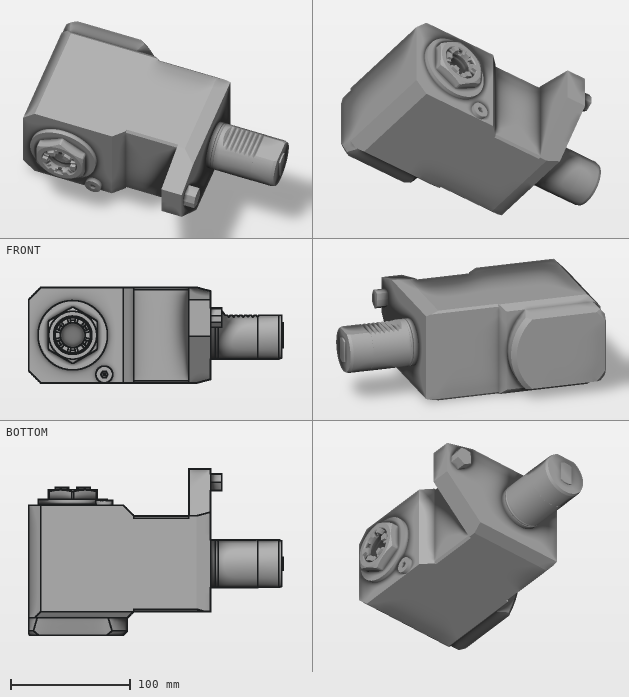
import cadquery as cq
import math


SLANT = math.tan(math.radians(15))

half_height = 40.0
head_left = -36.8
head_front = -49.0
head_rear = 45.0
neck_start = 51.0
neck_half_width = 40.0
neck_edge = 2.0
left_edge_chamfer = 10.2
rear_edge_chamfer = head_rear - neck_half_width
step_chamfer = abs(head_front) - neck_half_width

flange_left = 97.0
flange_right = 115.0
flange_slant_start = 103.5
foot_end = -79.1

cover_rear = 60.0
cover_radius = 45.7
cover_edge = 3.8
cover_half_height = half_height - rear_edge_chamfer
cover_left_edge = 1.3

ring_diameter = 58.0
ring_seat_diameter = 50.8
ring_seat = 0.6
ring_front = -53.5
nut_front = -62.0
nut_flats = 41.0
nut_corner_diameter = 46.5
nut_face_diameter = 40.0
nut_edge = 1.7
mouth_diameter = 32.1
pocket_diameter = 30.5
mouth_depth = 1.0
pocket_depth = 5.3

collet_front = -63.8
collet_diameter = 29.5
collet_bore = 20.8
bore_depth = 17.0
relief_diameter = 25.0
relief_start = 6.0
relief_end = 10.6
segments = 6
tab_angle = 23
slot_angle = 18
gap_floor = -61.3
slot_floor = -58.5

screw_x = 26.4
screw_z = -32.8
screw_diameter = 14.0
screw_front = -53.0
socket_corners = 6.0
socket_depth = 2.1
socket_tip_diameter = 1.6
socket_tip_depth = 0.9

shank_diameter = 40.0
shank_tail_diameter = 39.8
shank_tail_start = 154.6
shank_end = 174.6
shank_end_edge = 0.9
shank_end_edge_length = 2.5
seal_start = 119.0
seal_end = 121.5
seal_edge_diameter = 37.9

rack_height = 16.8
rack_start = 124.9
rack_slope_end = 127.2
first_groove = 130.4
last_groove = 154.5
groove_count = 7
groove_pitch = (last_groove - first_groove) / (groove_count - 1)
groove_half_width = 1.38
groove_depth = 1.5

tang_end = 176.0
tang_diameter = 20.8
tang_width = 10.8

key_y = -68.0
key_z = 14.7
key_end = 124.6
key_half_width = 7.0
key_half_height = 8.0
key_shoulder_height = 7.2
key_top_left = -3.8
key_top_right = 6.2
key_side_top = 1.7
key_side_bottom = -4.0


def disc_y(diameter, y_start, y_end, x=0, z=0):
    """Cylinder along -Y from y_start to y_end."""
    plane = cq.Workplane("XZ", origin=(x, y_start, z))
    return plane.circle(diameter / 2).extrude(y_start - y_end)


def hexagon_y(corner_diameter, y_start, y_end, x=0, z=0, turn=0):
    """Hexagonal prism along -Y, turned about its own axis."""
    plane = cq.Workplane("XZ", origin=(x, y_start, z)).transformed(rotate=(0, 0, turn))
    return plane.polygon(6, corner_diameter).extrude(y_start - y_end)


def cone_y(start_diameter, end_diameter, y_start, y_end, x=0, z=0):
    """Truncated cone along -Y."""
    start = cq.Workplane("XZ", origin=(x, y_start, z)).circle(start_diameter / 2)
    return start.workplane(offset=y_start - y_end).circle(end_diameter / 2).loft(combine=True)


def sector_y(angle, center_angle, y_start, y_end):
    """Wedge along -Y, wide enough to cross the collet wall."""
    reach = collet_diameter
    corners = [
        (reach * math.cos(math.radians(a)), reach * math.sin(math.radians(a)))
        for a in (center_angle - angle / 2, center_angle + angle / 2)
    ]
    plane = cq.Workplane("XZ", origin=(0, y_start, 0))
    return plane.polyline([(0, 0)] + corners).close().extrude(y_start - y_end)


def make_head():
    """Gear head block with chamfered left and rear edges and an angled front step."""
    length_y = head_rear - head_front
    step_start = neck_start - step_chamfer
    rear_corner = neck_start - rear_edge_chamfer
    outline = [
        (head_left, head_front),
        (step_start, head_front),
        (neck_start, -neck_half_width),
        (neck_start, neck_half_width),
        (rear_corner, head_rear),
        (head_left, head_rear),
    ]
    head = (
        cq.Workplane("XY")
        .workplane(offset=-half_height)
        .polyline(outline).close()
        .extrude(2 * half_height)
    )
    side_profile = (
        cq.Workplane("YZ", origin=(head_left, 0, 0))
        .polyline([
            (head_front, -half_height),
            (neck_half_width, -half_height),
            (head_rear, -cover_half_height),
            (head_rear, cover_half_height),
            (neck_half_width, half_height),
            (head_front, half_height),
        ]).close()
        .extrude(neck_start - head_left)
    )
    left_profile = (
        cq.Workplane("XY")
        .box(neck_start - head_left, length_y, 2 * half_height)
        .translate(((neck_start + head_left) / 2, (head_rear + head_front) / 2, 0))
        .edges("|Y and <X").chamfer(left_edge_chamfer)
    )
    return head.intersect(side_profile).intersect(left_profile)


def make_neck_and_flange():
    """Neck running into the flange, whose foot reaches out to -Y."""
    neck = (
        cq.Workplane("YZ")
        .rect(2 * neck_half_width, 2 * half_height)
        .extrude(flange_right)
        .edges("|X").chamfer(neck_edge)
    )
    foot_length = abs(foot_end) - neck_half_width
    foot = (
        cq.Workplane("YZ", origin=(flange_left, 0, 0))
        .polyline([
            (0, -half_height),
            (-neck_half_width, -half_height),
            (foot_end, -half_height + foot_length),
            (foot_end, half_height - foot_length * SLANT),
            (-neck_half_width, half_height),
            (0, half_height),
        ]).close()
        .extrude(flange_right - flange_left)
    )
    end_height = half_height - (flange_right - flange_slant_start) * SLANT
    slanted_end = (
        cq.Workplane("XZ", origin=(0, neck_half_width, 0))
        .polyline([
            (0, -half_height),
            (flange_slant_start, -half_height),
            (flange_right, -end_height),
            (flange_right, end_height),
            (flange_slant_start, half_height),
            (0, half_height),
        ]).close()
        .extrude(neck_half_width - foot_end)
    )
    return neck.union(foot).intersect(slanted_end)


def make_cover():
    """Round rear cover cut flush with the head on the left and tapered above and below."""
    depth = cover_rear - head_rear
    disc = disc_y(2 * cover_radius, cover_rear, head_rear).faces(">Y").chamfer(cover_edge)
    rear_half_height = cover_half_height - depth * SLANT
    tapered = (
        cq.Workplane("YZ", origin=(head_left, 0, 0))
        .polyline([
            (head_rear, -cover_half_height),
            (cover_rear, -rear_half_height),
            (cover_rear, rear_half_height),
            (head_rear, cover_half_height),
        ]).close()
        .extrude(cover_radius - head_left)
    )
    left_edge = (
        cq.Workplane("XY", origin=(0, 0, -half_height))
        .polyline([
            (head_left, cover_rear),
            (head_left + cover_left_edge, cover_rear),
            (head_left, cover_rear - cover_left_edge),
        ]).close()
        .extrude(2 * half_height)
    )
    return disc.intersect(tapered).cut(left_edge)


def make_nut():
    """Stepped collar and hexagonal clamping nut with an open collet pocket."""
    seat = disc_y(ring_seat_diameter, head_front, head_front - ring_seat)
    ring = disc_y(ring_diameter, head_front - ring_seat, ring_front)
    corners = nut_flats / math.cos(math.radians(30))
    hexagon = hexagon_y(corners, ring_front, nut_front, turn=30)
    turned = disc_y(nut_corner_diameter, ring_front, nut_front)
    radial_edge = (nut_corner_diameter - nut_face_diameter) / 2
    turned = turned.faces("<Y").chamfer(nut_edge, radial_edge)
    nut = hexagon.intersect(turned)
    nut = nut.cut(disc_y(pocket_diameter, nut_front + pocket_depth, nut_front))
    nut = nut.cut(cone_y(pocket_diameter, mouth_diameter, nut_front + mouth_depth, nut_front))
    return seat.union(ring).union(nut)


def make_collet():
    """Collet face with raised tabs and a shallow slot between each pair."""
    base = nut_front + pocket_depth
    collet = disc_y(collet_diameter, base, gap_floor)
    pitch_angle = 360 / segments
    crown = disc_y(collet_diameter, gap_floor, collet_front)
    for i in range(segments):
        tab_center = i * pitch_angle
        tab_sector = sector_y(tab_angle, tab_center, gap_floor, collet_front)
        collet = collet.union(crown.intersect(tab_sector))
        slot_center = tab_center + pitch_angle / 2
        collet = collet.cut(sector_y(slot_angle, slot_center, slot_floor, gap_floor))
    return collet


def make_bore():
    """Tool bore with an internal relief groove."""
    bore = disc_y(collet_bore, collet_front + bore_depth, collet_front)
    relief = disc_y(relief_diameter, collet_front + relief_end, collet_front + relief_start)
    return bore.union(relief)


def make_screw():
    """Low screw head with a hexagon socket."""
    screw = disc_y(screw_diameter, head_front, screw_front, screw_x, screw_z)
    floor = screw_front + socket_depth
    socket = hexagon_y(socket_corners, floor, screw_front, screw_x, screw_z)
    across_flats = socket_corners * math.cos(math.radians(30))
    tip = cone_y(
        socket_tip_diameter, across_flats, floor + socket_tip_depth, floor, screw_x, screw_z
    )
    return screw.cut(socket).cut(tip)


def make_rack_cutter():
    """Removes the flat on top of the shank and the V grooves across it."""
    radius = shank_diameter / 2
    profile = cq.Workplane("XZ", origin=(0, radius, 0)).moveTo(rack_start, radius)
    profile = profile.lineTo(rack_slope_end, rack_height)
    for i in range(groove_count):
        center = first_groove + i * groove_pitch
        profile = profile.lineTo(center - groove_half_width, rack_height)
        profile = profile.lineTo(center, rack_height - groove_depth)
        profile = profile.lineTo(center + groove_half_width, rack_height)
    profile = profile.lineTo(shank_end, rack_height).lineTo(shank_end, radius).close()
    return profile.extrude(2 * radius)


def make_shank():
    """Round shank with seal ring, clamping teeth and drive tang."""
    radius = shank_diameter / 2
    tail_radius = shank_tail_diameter / 2
    seal_radius = seal_edge_diameter / 2
    shank = (
        cq.Workplane("XY")
        .moveTo(flange_right, 0)
        .lineTo(flange_right, radius)
        .lineTo(seal_start, radius)
        .lineTo(seal_start, seal_radius)
        .threePointArc(((seal_start + seal_end) / 2, radius), (seal_end, seal_radius))
        .lineTo(seal_end, radius)
        .lineTo(shank_tail_start, radius)
        .lineTo(shank_tail_start, tail_radius)
        .lineTo(shank_end - shank_end_edge_length, tail_radius)
        .lineTo(shank_end, tail_radius - shank_end_edge)
        .lineTo(shank_end, 0)
        .close()
        .revolve(360, (0, 0, 0), (1, 0, 0))
    )
    tang = (
        cq.Workplane("YZ", origin=(shank_end, 0, 0))
        .circle(tang_diameter / 2)
        .extrude(tang_end - shank_end)
    )
    tang_slab = cq.Workplane("XY").box(2 * tang_end, tang_width, tang_diameter)
    return shank.cut(make_rack_cutter()).union(tang.intersect(tang_slab))


def make_key():
    """Flat-sided key with a gently crowned top."""
    top_middle = (key_top_left + key_top_right) / 2
    return (
        cq.Workplane("YZ", origin=(flange_right, key_y, key_z))
        .moveTo(-key_half_width, key_side_bottom)
        .lineTo(-key_half_width, key_side_top)
        .lineTo(key_top_left, key_shoulder_height)
        .threePointArc((top_middle, key_half_height), (key_top_right, key_shoulder_height))
        .lineTo(key_half_width, key_side_top)
        .lineTo(key_half_width, key_side_bottom)
        .lineTo(0, -key_half_height)
        .close()
        .extrude(key_end - flange_right)
    )


result = make_head()
for body in (make_neck_and_flange(), make_cover(), make_nut(), make_collet(),
             make_screw(), make_shank(), make_key()):
    result = result.union(body)
result = result.cut(make_bore())